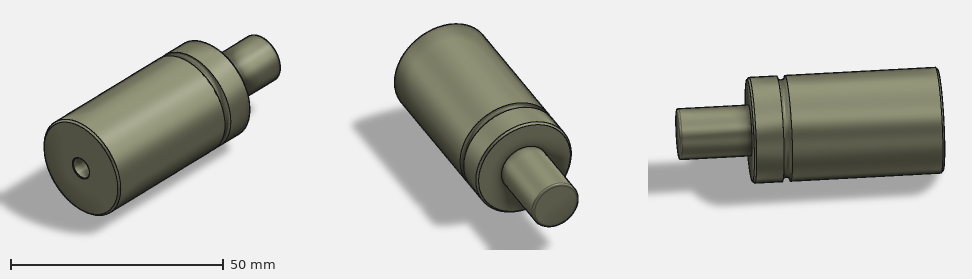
import cadquery as cq
import math

total_length = 62.0
body_diameter = 25.0
body_length = 45.0
body_chamfer = 0.5
rod_diameter = 12.0
rod_length = total_length - body_length
rod_end_radius = 0.5

groove_radius = 1.0
groove_center_from_shoulder = 8.0

hole_diameter = 5.2
hole_depth = 9.9
hole_mouth_chamfer = 0.2
drill_point_angle = 118.0

front_y = -total_length / 2
shoulder_y = front_y + body_length


def cylinder_along_y(diameter, start_y, length):
    """Solid cylinder on the Y axis, growing toward +Y from start_y."""
    plane = cq.Plane(origin=(0, start_y, 0), xDir=(1, 0, 0), normal=(0, 1, 0))
    return cq.Workplane(plane).circle(diameter / 2).extrude(length)


def make_body():
    body = cylinder_along_y(body_diameter, front_y, body_length)
    return body.edges("%CIRCLE").chamfer(body_chamfer)


def make_rod():
    rod = cylinder_along_y(rod_diameter, shoulder_y, rod_length)
    return rod.faces(">Y").edges().fillet(rod_end_radius)


def make_groove():
    """Ring whose section is a circle centred on the body surface."""
    return (
        cq.Workplane("XY")
        .center(body_diameter / 2, shoulder_y - groove_center_from_shoulder)
        .circle(groove_radius)
        .revolve(360, (-body_diameter / 2, 0), (-body_diameter / 2, 1))
    )


def make_hole():
    """Drilled hole with a chamfered mouth and a conical bottom."""
    radius = hole_diameter / 2
    cone_depth = radius / math.tan(math.radians(drill_point_angle / 2))
    bottom_y = front_y + hole_depth
    return (
        cq.Workplane("XY")
        .moveTo(0, front_y)
        .lineTo(radius + hole_mouth_chamfer, front_y)
        .lineTo(radius, front_y + hole_mouth_chamfer)
        .lineTo(radius, bottom_y)
        .lineTo(0, bottom_y + cone_depth)
        .close()
        .revolve(360, (0, 0), (0, 1))
    )


result = make_body().union(make_rod()).cut(make_groove()).cut(make_hole())